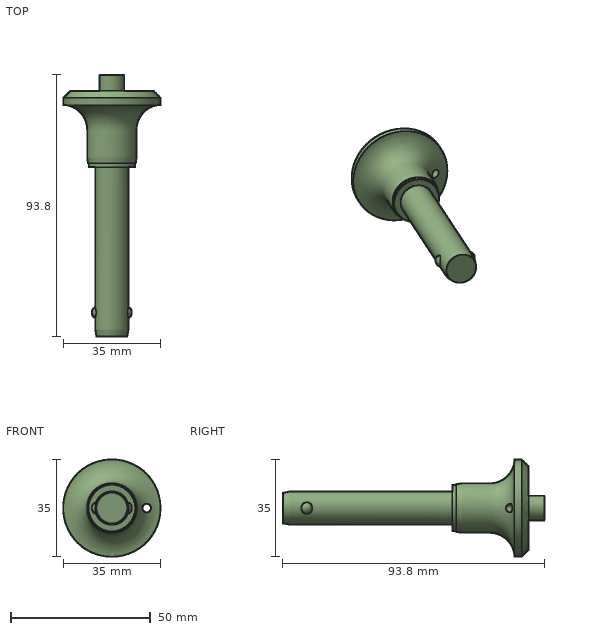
import cadquery as cq

total_length = 93.8

button_radius = 4.5
button_height = 5.8
button_chamfer = 0.3

flange_radius = 17.49
flange_chamfer = 2.5
rim_width = 2.5
flare_length = 8.7
sleeve_radius = 8.9
sleeve_length = 10.1

taper_length = 2.0
taper_end_radius = 8.6
collar_radius = 8.35
collar_length = 1.4

shaft_radius = 6.0
tip_radius = 5.5
tip_length = 2.5

ball_radius = 2.2
ball_span = 14.4
ball_from_tip = 8.5

hole_diameter = 3.0
hole_offset = 12.5

flange_top = total_length - button_height
rim_top = flange_top - flange_chamfer
rim_bottom = rim_top - rim_width
flare_bottom = rim_bottom - flare_length
taper_top = flare_bottom - sleeve_length
collar_top = taper_top - taper_length
collar_bottom = collar_top - collar_length


def make_pin_body():
    """Revolve the button, handle and shaft as one half profile."""
    profile = (
        cq.Workplane("XY")
        .lineTo(tip_radius, 0)
        .lineTo(shaft_radius, tip_length)
        .lineTo(shaft_radius, collar_bottom)
        .lineTo(collar_radius, collar_bottom)
        .lineTo(collar_radius, collar_top)
        .lineTo(taper_end_radius, collar_top)
        .lineTo(sleeve_radius, taper_top)
        .lineTo(sleeve_radius, flare_bottom)
        .tangentArcPoint((flange_radius, rim_bottom), relative=False)
        .lineTo(flange_radius, rim_top)
        .lineTo(flange_radius - flange_chamfer, flange_top)
        .lineTo(button_radius, flange_top)
        .lineTo(button_radius, total_length - button_chamfer)
        .lineTo(button_radius - button_chamfer, total_length)
        .lineTo(0, total_length)
        .close()
    )
    return profile.revolve(360, (0, 0, 0), (0, 1, 0))


def make_ball(side):
    """Locking ball on the +X (side = 1) or -X (side = -1) flank of the shaft."""
    center_x = side * (ball_span / 2 - ball_radius)
    return cq.Workplane("XY").sphere(ball_radius).translate((center_x, ball_from_tip, 0))


def make_lanyard_hole():
    """Cutter parallel to the shaft, passing right through the flange."""
    return (
        cq.Workplane("XZ")
        .center(hole_offset, 0)
        .circle(hole_diameter / 2)
        .extrude(-total_length)
    )


result = make_pin_body().cut(make_lanyard_hole())
for side in (-1, 1):
    result = result.union(make_ball(side))